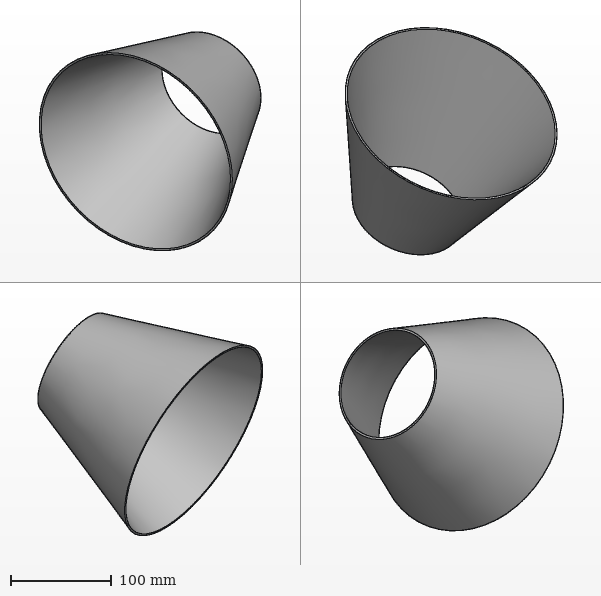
import cadquery as cq
import math

large_diameter = 219.0
small_diameter = 114.4
length = 152.0
wall = 2.0

large_radius = large_diameter / 2
small_radius = small_diameter / 2

cone_half_angle = math.atan((large_radius - small_radius) / length)
radial_wall = wall / math.cos(cone_half_angle)

wall_section = (
    cq.Workplane("XY")
    .moveTo(large_radius - radial_wall, 0)
    .lineTo(large_radius, 0)
    .lineTo(small_radius, length)
    .lineTo(small_radius - radial_wall, length)
    .close()
)

result = wall_section.revolve(360, (0, 0, 0), (0, 1, 0))